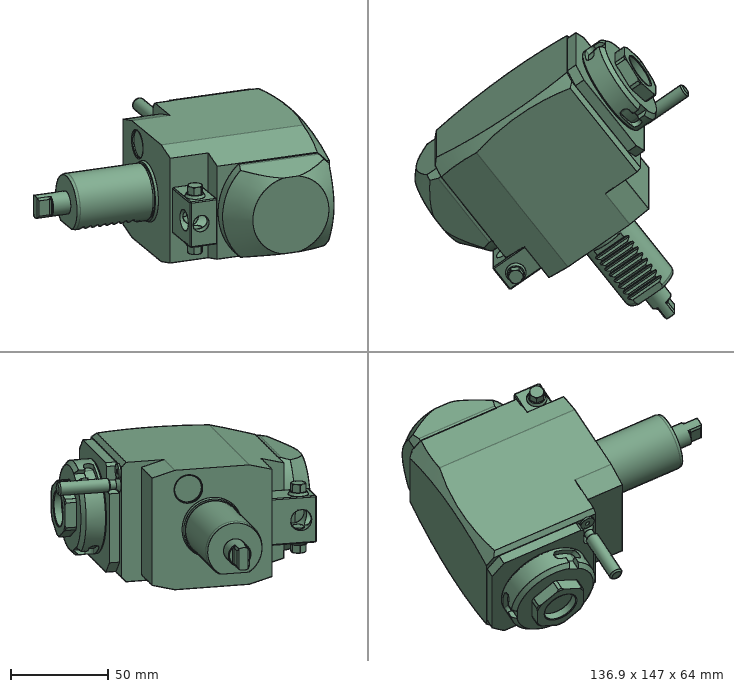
import cadquery as cq
import math


body_left = -42.5
body_right = 44.1
body_back = 85.0
body_front = 21.2
body_height = 64.0
half_height = body_height / 2
half_base = half_height
taper_start = 19.8
taper_angle = 15
end_chamfer = 2.4
back_chamfer = 3.0
crown_center_x = -10.1
crown_radius = 126.4
crown_peak_y = 82.6
plug_x, plug_z = -12.6, 21.5
plug_radius = 7.6
plug_depth = 1.2
rim_chamfer = 0.5

spindle_y = 55.0
cap_right = 61.6
cap_radius = 33.4
cap_end_radius = 21.2
cap_cone_start = 50.3
cap_flat_end = 45.9
cap_back = 80.8

plate_left = -47.9
plate_front, plate_back = 25.3, 84.5
plate_half_height = 29.3
plate_chamfer = 6.9
collar_left, collar_right = -61.2, -48.5
collar_radius = 24.5
collar_chamfer = 2.2
collar_neck_radius = 23.8
notch_angles = (0, 120, 240)
notch_width = 6.0
notch_floor_radius = 21.8
slot_left, slot_right = -55.4, -50.1
slot_half_angle = 20
hex_left = -67.3
hex_flats = 27.0
hex_corners = 30.1
hex_chamfer = 0.6
bore_radius = 9.5
bore_depth = 4.4

pin_left = -75.3
pin_shoulder = -48.5
pin_neck_start = -47.8
pin_y, pin_z = 26.5, 19.0
pin_radius = 3.5
pin_chamfer = 0.9
pin_neck_radius = 2.5
pin_flare_start = -44.5
pin_flare_radius = 4.0
recess_back = 31.0
recess_radius = 4.5
recess_chamfer = 1.6
nozzle_z = 25.9
nozzle_radius = 4.0
nozzle_height = 1.0
nozzle_hole_radius = 1.2
nozzle_hole_depth = 2.2

flange_radius = 16.0
flange_thickness = 1.5
shank_radius = 15.0
shank_end = -44.7
shank_lead_in = 0.51
shank_top_bevel = 1.0
shank_end_bevel = 1.6
drive_radius = 6.0
drive_chamfer = 0.5
drive_end = -62.0
tang_start = -54.7
tang_half_width = 3.2
tang_chamfer = 0.9
root_bevel = 0.7
flat_z = -12.3
flat_start = -7.2
tooth_count = 8
tooth_pitch = 4.0
tooth_first_y = -11.6
tooth_depth = 1.6
tooth_mouth, tooth_root = 3.1, 0.9

block_right = 56.2
block_front, block_back = 1.2, 16.3
block_half_height = 12.5
block_chamfer = 0.6
screw_x, screw_y = 47.9, 7.2
block_hole_radius = 5.6
cross_hole_radius = 4.4
washer_radius, washer_top_radius = 5.3, 4.4
washer_height = 1.5
screw_flats = 7.2
screw_corners = 8.2
screw_chamfer = 0.5
screw_top = 18.4
screw_tip = 4.9
screw_radius = 3.7

overlap = 1.5


def box(x0, x1, y0, y1, z0, z1):
    return cq.Workplane("XY").box(x1 - x0, y1 - y0, z1 - z0, centered=False).translate((x0, y0, z0))


def rod_x(x0, x1, radius, y, z):
    return cq.Workplane("YZ", origin=(x0, y, z)).circle(radius).extrude(x1 - x0)


def turned_x(points, y, z):
    """Revolve an (x, radius) outline about the line along X through (y, z)."""
    return cq.Workplane("XY", origin=(0, y, z)).polyline(points).close().revolve(360, (0, 0), (1, 0))


def countersunk(radius, depth):
    """Blind hole cutter entering along +X from the origin, with a bevelled mouth."""
    return turned_x([
        (0, 0),
        (0, radius),
        (rim_chamfer, radius - rim_chamfer),
        (depth, radius - rim_chamfer),
        (depth, 0),
    ], 0, 0)


def tapered_height(x):
    """Half height of the housing where it narrows to the right."""
    return half_height - (x - taper_start) * math.tan(math.radians(taper_angle))


def side_profile(points):
    """Extrude an upper (x, z) outline, mirrored about Z = 0, over the whole depth in Y."""
    lower = [(x, -z) for x, z in reversed(points)]
    return cq.Workplane("XZ").polyline(points + lower).close().extrude(-body_back)


def crown_cutter():
    """Arched 45 degree bevel for the upper back edge."""
    def arch_y(x, z):
        drop = crown_radius - math.sqrt(crown_radius**2 - (x - crown_center_x) ** 2)
        return crown_peak_y - drop + half_height - z

    reach = body_right - crown_center_x + overlap
    z_low = half_height / 2
    rise = half_height + overlap - z_low
    y_end = arch_y(crown_center_x + reach, z_low)
    y_mid = arch_y(crown_center_x, z_low)
    y_far = body_back + 2 * rise
    arch = (
        cq.Workplane("XY")
        .moveTo(crown_center_x - reach, y_end)
        .threePointArc((crown_center_x, y_mid), (crown_center_x + reach, y_end))
        .lineTo(crown_center_x + reach, y_far)
        .lineTo(crown_center_x - reach, y_far)
        .close()
        .wires()
        .val()
    )
    bevel = cq.Solid.extrudeLinear(arch, [], cq.Vector(0, -rise, rise))
    return cq.Workplane(obj=bevel).translate((0, 0, z_low))


def make_housing():
    body = side_profile([
        (body_left, half_height - end_chamfer),
        (body_left + end_chamfer, half_height),
        (taper_start, half_height),
        (body_right, tapered_height(body_right)),
    ])
    body = body.intersect(box(body_left, body_right, body_front, body_back, -half_height, half_height))
    body = body.edges("|Z and >X and >Y").chamfer(back_chamfer)
    upper_bevel = crown_cutter()
    body = body.cut(upper_bevel).cut(upper_bevel.mirror("XY"))

    base_edge = tapered_height(half_base)
    base = side_profile([
        (-half_base, base_edge),
        (-taper_start, half_height),
        (taper_start, half_height),
        (half_base, base_edge),
    ])
    base = base.intersect(box(-half_base, half_base, 0, body_front + overlap, -half_height, half_height))
    sunk_plug = countersunk(plug_radius, plug_depth).rotate((0, 0, 0), (0, 0, 1), 90)
    return body.union(base).cut(sunk_plug.translate((plug_x, 0, plug_z)))


def make_cap():
    cap = turned_x([
        (body_right - overlap, 0),
        (body_right - overlap, cap_radius),
        (cap_cone_start, cap_radius),
        (cap_right, cap_end_radius),
        (cap_right, 0),
    ], spindle_y, 0)
    envelope = side_profile([
        (body_right - overlap, tapered_height(cap_flat_end)),
        (cap_flat_end, tapered_height(cap_flat_end)),
        (cap_right, tapered_height(cap_right)),
    ])
    below_flat = box(body_left, cap_right, 0, cap_back, -half_height, half_height)
    return cap.intersect(envelope).intersect(below_flat)


def make_plate():
    plate = box(
        plate_left, body_left + overlap,
        plate_front, plate_back,
        -plate_half_height, plate_half_height,
    )
    plate = plate.edges("|X").chamfer(plate_chamfer)
    recess = (
        cq.Workplane("YZ", origin=(plate_left, 0, 0))
        .moveTo(plate_front - overlap, pin_z)
        .lineTo(recess_back, pin_z)
        .lineTo(recess_back, plate_half_height - recess_chamfer)
        .lineTo(recess_back + recess_chamfer, plate_half_height)
        .lineTo(plate_front - overlap, plate_half_height)
        .close()
        .extrude(body_left - plate_left)
    )
    return plate.cut(recess).cut(rod_x(plate_left, body_left, recess_radius, pin_y, pin_z))


def collar_slot():
    """Wrench slot along the rim, with round ends, centred on the +Y side of the collar."""
    width = slot_right - slot_left
    middle = (slot_left + slot_right) / 2
    outer = collar_radius + overlap
    end_angle = slot_half_angle - math.degrees(width / 2 / collar_radius)
    sector = (
        cq.Workplane("XY")
        .polyline([
            (slot_left, notch_floor_radius),
            (slot_left, outer),
            (slot_right, outer),
            (slot_right, notch_floor_radius),
        ])
        .close()
        .revolve(2 * end_angle, (0, 0), (1, 0))
        .rotate((0, 0, 0), (1, 0, 0), -end_angle)
    )
    end = cq.Workplane("XZ", origin=(middle, notch_floor_radius, 0)).circle(width / 2)
    end = end.extrude(notch_floor_radius - outer)
    for angle in (-end_angle, end_angle):
        sector = sector.union(end.rotate((0, 0, 0), (1, 0, 0), angle))
    return sector


def make_collar():
    collar = turned_x([
        (collar_left, 0),
        (collar_left, collar_radius - collar_chamfer),
        (collar_left + collar_chamfer, collar_radius),
        (collar_right, collar_radius),
        (collar_right, collar_neck_radius),
        (plate_left + overlap, collar_neck_radius),
        (plate_left + overlap, 0),
    ], 0, 0)
    half_notch = notch_width / 2
    notch = box(
        collar_left, slot_left + overlap,
        notch_floor_radius, collar_radius + overlap,
        -half_notch, half_notch,
    )
    cutter = notch.union(collar_slot())
    for angle in notch_angles:
        collar = collar.cut(cutter.rotate((0, 0, 0), (1, 0, 0), angle))
    return collar.translate((0, spindle_y, 0))


def make_hexagon():
    tip = cq.Workplane("YZ", origin=(hex_left, spindle_y, 0))
    length = collar_left - hex_left + overlap
    across_corners = hex_flats / math.cos(math.pi / 6)
    prism = tip.transformed(rotate=(0, 0, 90)).polygon(6, across_corners).extrude(length)
    limit = tip.circle(hex_corners / 2).extrude(length).faces("<X").chamfer(hex_chamfer)
    return prism.intersect(limit)


def make_pin():
    return turned_x([
        (pin_left, 0),
        (pin_left, pin_radius - pin_chamfer),
        (pin_left + pin_chamfer, pin_radius),
        (pin_shoulder, pin_radius),
        (pin_neck_start, pin_neck_radius),
        (pin_flare_start, pin_neck_radius),
        (body_left, pin_flare_radius),
        (body_left + overlap, pin_flare_radius),
        (body_left + overlap, 0),
    ], pin_y, pin_z)


def make_nozzle():
    return rod_x(body_left - nozzle_height, body_left + overlap, nozzle_radius, pin_y, nozzle_z)


def make_shank():
    shank_start = -flange_thickness
    shank = (
        cq.Workplane("XY")
        .polyline([
            (0, overlap),
            (flange_radius, overlap),
            (flange_radius, 0),
            (flange_radius - shank_lead_in, shank_start),
            (shank_radius - shank_lead_in, shank_start),
            (shank_radius, shank_start - shank_top_bevel),
            (shank_radius, shank_end + shank_end_bevel),
            (shank_radius - shank_lead_in, shank_end),
            (0, shank_end),
        ])
        .close()
        .revolve(360, (0, 0), (0, 1))
    )
    shank = shank.cut(box(-shank_radius, shank_radius, shank_end, flat_start, -shank_radius, flat_z))
    groove = (
        cq.Workplane("YZ", origin=(-shank_radius, 0, flat_z))
        .polyline([
            (-tooth_mouth / 2, 0),
            (-tooth_root / 2, tooth_depth),
            (tooth_root / 2, tooth_depth),
            (tooth_mouth / 2, 0),
        ])
        .close()
        .extrude(2 * shank_radius)
    )
    for i in range(tooth_count):
        shank = shank.cut(groove.translate((0, tooth_first_y - i * tooth_pitch, 0)))
    return shank


def make_drive():
    drive = cq.Workplane("XZ", origin=(0, tang_start, 0)).circle(drive_radius)
    drive = drive.extrude(tang_start - shank_end - overlap).faces("<Y").chamfer(drive_chamfer)
    tang = cq.Workplane("XZ", origin=(0, tang_start + overlap, 0)).circle(drive_radius)
    tang = tang.extrude(tang_start + overlap - drive_end)
    slab = box(
        -tang_half_width, tang_half_width,
        drive_end, tang_start + overlap,
        -drive_radius, drive_radius,
    )
    tang = tang.intersect(slab).faces("<X or >X").edges().chamfer(tang_chamfer)
    root = cq.Workplane("XY").polyline([
        (-tang_half_width - root_bevel, tang_start),
        (-tang_half_width, tang_start - root_bevel),
        (tang_half_width, tang_start - root_bevel),
        (tang_half_width + root_bevel, tang_start),
    ])
    root = root.close().extrude(drive_radius, both=True)
    root_limit = cq.Workplane("XZ", origin=(0, tang_start, 0)).circle(drive_radius - drive_chamfer)
    root = root.intersect(root_limit.extrude(root_bevel))
    return drive.union(tang).union(root)


def make_clamp_block():
    block = box(
        half_base - overlap, block_right,
        block_front, block_back,
        -block_half_height, block_half_height,
    )
    block = block.edges("|X or >X").chamfer(block_chamfer)
    hole = cq.Workplane("XZ", origin=(screw_x, block_front, 0)).circle(block_hole_radius)
    block = block.cut(hole.extrude(block_front - block_back))
    block = block.cut(rod_x(half_base, block_right, cross_hole_radius, screw_y, 0))

    seat = cq.Workplane("XY", origin=(screw_x, screw_y, block_half_height))
    washer = seat.circle(washer_radius).workplane(offset=washer_height).circle(washer_top_radius).loft()
    across_corners = screw_flats / math.cos(math.pi / 6)
    head_height = screw_top - block_half_height
    head = seat.transformed(rotate=(0, 0, 90)).polygon(6, across_corners).extrude(head_height)
    limit = seat.circle(screw_corners / 2).extrude(head_height)
    head = head.intersect(limit.faces(">Z").chamfer(screw_chamfer))
    tip_seat = cq.Workplane("XY", origin=(screw_x, screw_y, screw_tip))
    thread = tip_seat.circle(screw_radius).extrude(block_half_height - screw_tip)
    screw = washer.union(head).union(thread)
    return block.union(screw).union(screw.mirror("XY"))


result = make_housing()
features = (
    make_cap, make_plate, make_collar, make_hexagon, make_pin,
    make_nozzle, make_shank, make_drive, make_clamp_block,
)
for make_feature in features:
    result = result.union(make_feature())

result = result.cut(countersunk(bore_radius, bore_depth).translate((hex_left, spindle_y, 0)))
nozzle_face = body_left - nozzle_height
result = result.cut(rod_x(nozzle_face, nozzle_face + nozzle_hole_depth, nozzle_hole_radius, pin_y, nozzle_z))